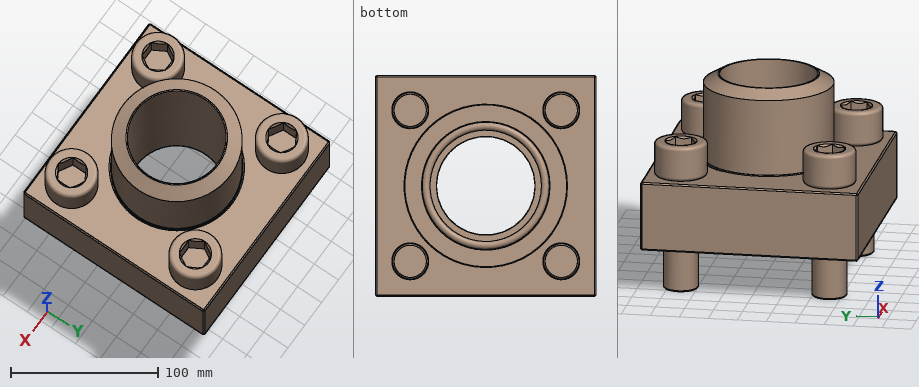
import cadquery as cq
import math


flange_width = 150.0
flange_thickness = 48.0
edge_chamfer = 1.0
flange_bore_diameter = 90.0
collar_recess_diameter = 111.0
collar_recess_depth = 15.0

bolt_circle_diameter = 145.0
screw_count = 4
bolt_offset = bolt_circle_diameter / 2 / math.sqrt(2)
bolt_hole_diameter = 25.0

pipe_diameter = 89.0
pipe_top = 59.1
locating_diameter = 89.5
locating_top = 0.5
pipe_tip_diameter = 69.0
weld_bevel_angle = 30.0
pipe_bore_diameter = 67.0
pipe_bottom_bore_diameter = 66.9
straight_bore_depth = 29.5
collar_diameter = 110.0
collar_projection = 1.5
pipe_bottom = -flange_thickness - collar_projection
collar_top = -flange_thickness + collar_recess_depth

seal_inner_diameter = 75.6
seal_section_diameter = 5.4
seal_projection = 1.6
groove_outer_diameter = 87.3
groove_depth = seal_section_diameter - seal_projection

screw_diameter = 24.0
screw_length = 80.0
screw_tip_chamfer = 1.0
head_diameter = 36.0
head_height = 24.0
head_top_fillet = 2.4
head_bottom_fillet = 2.4
socket_corner_diameter = 21.9
socket_sides = 6
socket_flat_width = socket_corner_diameter * math.cos(math.pi / socket_sides)
socket_depth = 15.0
socket_mouth_depth = (socket_corner_diameter - socket_flat_width) / 2


def cylinder(diameter, bottom, top):
    """Cylinder on the z axis between two heights."""
    return cq.Workplane("XY").workplane(offset=bottom).circle(diameter / 2).extrude(top - bottom)


def widening_cone(bottom_diameter, top_diameter, height, top):
    """Cone frustum on the z axis that widens upwards and ends at the given top height."""
    base = cq.Vector(0, 0, top - height)
    return cq.Workplane(cq.Solid.makeCone(bottom_diameter / 2, top_diameter / 2, height, pnt=base))


def make_flange():
    """Square plate with a bore, a recess for the pipe collar and four bolt holes."""
    plate = (
        cq.Workplane("XY")
        .box(flange_width, flange_width, flange_thickness, centered=(True, True, False))
        .translate((0, 0, -flange_thickness))
        .edges()
        .chamfer(edge_chamfer)
    )
    bore = cylinder(flange_bore_diameter, -flange_thickness, 0)
    bore_mouth = widening_cone(flange_bore_diameter, flange_bore_diameter + 2 * edge_chamfer, edge_chamfer, 0)
    recess = cylinder(collar_recess_diameter, -flange_thickness, collar_top)
    bolt_holes = (
        cq.Workplane("XY")
        .rect(2 * bolt_offset, 2 * bolt_offset, forConstruction=True)
        .vertices()
        .circle(bolt_hole_diameter / 2)
        .extrude(-flange_thickness)
    )
    return plate.cut(bore).cut(bore_mouth).cut(recess).cut(bolt_holes)


def make_pipe():
    """Turned pipe: bevelled upper end, slightly tapered lower bore, collar with a seal groove."""
    bevel_height = (pipe_diameter - pipe_tip_diameter) / 2 * math.tan(math.radians(weld_bevel_angle))
    profile = [
        (pipe_bottom_bore_diameter / 2, pipe_bottom),
        (collar_diameter / 2, pipe_bottom),
        (collar_diameter / 2, collar_top),
        (locating_diameter / 2, collar_top),
        (locating_diameter / 2, locating_top),
        (pipe_diameter / 2, locating_top),
        (pipe_diameter / 2, pipe_top - bevel_height),
        (pipe_tip_diameter / 2, pipe_top),
        (pipe_bore_diameter / 2, pipe_top),
        (pipe_bore_diameter / 2, pipe_top - straight_bore_depth),
    ]
    body = cq.Workplane("XZ").polyline(profile).close().revolve(360, (0, 0, 0), (0, 1, 0))
    groove = cylinder(groove_outer_diameter, pipe_bottom, pipe_bottom + groove_depth).cut(
        cylinder(seal_inner_diameter, pipe_bottom, pipe_bottom + groove_depth)
    )
    return body.cut(groove)


def make_seal():
    """Ring of round section that lies in the groove and stands proud of the collar."""
    ring_radius = (seal_inner_diameter + seal_section_diameter) / 2
    ring_height = pipe_bottom + groove_depth - seal_section_diameter / 2
    return (
        cq.Workplane("XZ")
        .center(ring_radius, ring_height)
        .circle(seal_section_diameter / 2)
        .revolve(360, (-ring_radius, 0, 0), (-ring_radius, 1, 0))
    )


def make_screw():
    """Socket head screw whose head sits on z = 0, with two socket corners on the x axis."""
    head = (
        cylinder(head_diameter, 0, head_height)
        .faces(">Z")
        .edges()
        .fillet(head_top_fillet)
        .faces("<Z")
        .edges()
        .fillet(head_bottom_fillet)
    )
    shank = cylinder(screw_diameter, -screw_length, 0).faces("<Z").chamfer(screw_tip_chamfer)
    socket = (
        cq.Workplane("XY")
        .workplane(offset=head_height - socket_depth)
        .polygon(socket_sides, socket_corner_diameter)
        .extrude(socket_depth)
    )
    socket_mouth = widening_cone(socket_flat_width, socket_corner_diameter, socket_mouth_depth, head_height)
    return head.union(shank).cut(socket).cut(socket_mouth)


flange = make_flange()
pipe = make_pipe()
seal = make_seal()
corner_screw = make_screw().translate((bolt_offset, bolt_offset, 0))
screws = [corner_screw.rotate((0, 0, 0), (0, 0, 1), 360 / screw_count * turn) for turn in range(screw_count)]

result = cq.Compound.makeCompound(
    [flange.val(), pipe.val(), seal.val(), *[screw.val() for screw in screws]]
)